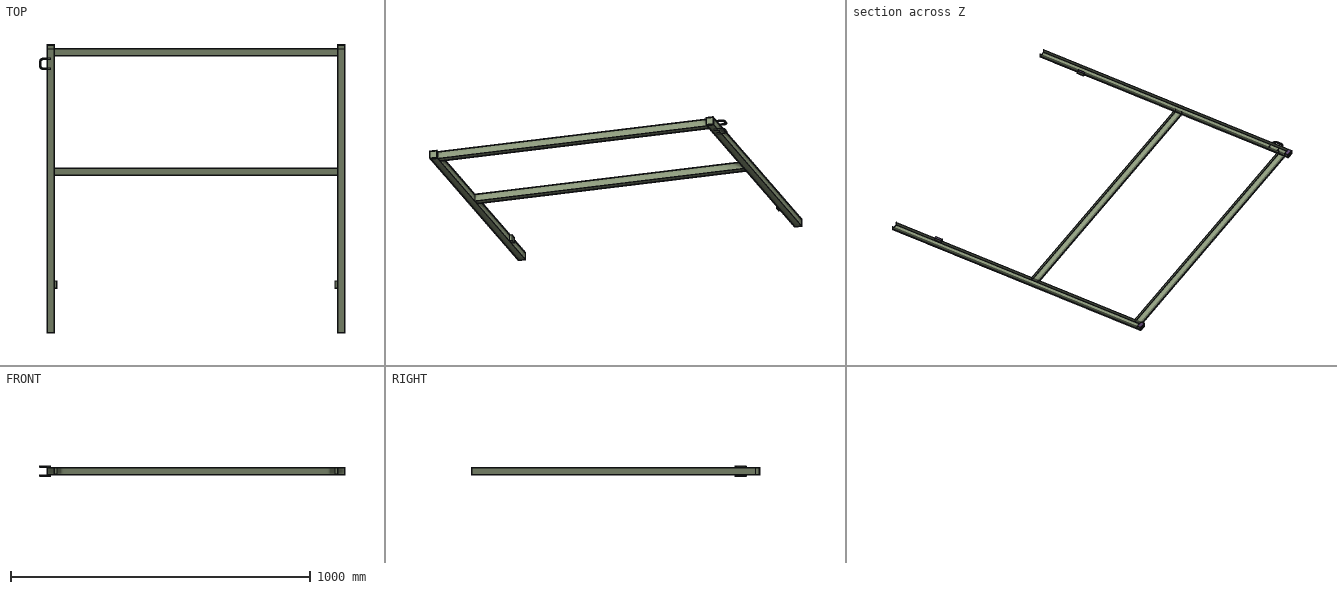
import cadquery as cq
import math

TUBE = 25.4
WALL = 1.5
BORE = TUBE - 2 * WALL

FRAME_WIDTH = 996.0
LEG_LENGTH = 960.5
TOP_BAR_Y = 938.0
MIDDLE_BAR_Y = 538.0
LEG_X = (FRAME_WIDTH - TUBE) / 2
INNER_X = LEG_X - TUBE / 2

CAP_THICKNESS = 3.0
PLUG_DEPTH = 12.0

WIRE_DIAMETER = 5.0
HOOK_Y = 899.0
HOOK_ARM_SPACING = 33.0
HOOK_REACH = 24.8
HOOK_OVERLAP = 12.0
HOOK_BEND_RADIUS = 9.0

PAD_Y = 161.5
PAD_LENGTH = 25.0
PAD_HEIGHT = 20.0
PAD_THICKNESS = 8.0

SIDES = (-1, 1)


def make_leg(side):
    """Hollow leg on the -X (side = -1) or +X (side = 1) edge of the frame."""
    return (
        cq.Workplane("XZ", origin=(side * LEG_X, 0, 0))
        .rect(TUBE, TUBE)
        .rect(BORE, BORE)
        .extrude(-LEG_LENGTH)
    )


def make_crossbar(y):
    """Hollow crossbar fitted between the inner faces of the legs."""
    return (
        cq.Workplane("YZ", origin=(-INNER_X, y, 0))
        .rect(TUBE, TUBE)
        .rect(BORE, BORE)
        .extrude(2 * INNER_X)
    )


def make_plug(side):
    """Cap covering the +Y end of a leg, with a spigot filling the bore."""
    leg_end = cq.Workplane("XZ", origin=(side * LEG_X, LEG_LENGTH, 0))
    cap = leg_end.rect(TUBE, TUBE).extrude(-CAP_THICKNESS)
    spigot = leg_end.rect(BORE, BORE).extrude(PLUG_DEPTH)
    return cap.union(spigot)


def make_hook(side):
    """Wire hook resting on the bottom (side = -1) or top (side = 1) of the -X leg."""
    leg_face_x = -FRAME_WIDTH / 2
    root_x = leg_face_x + HOOK_OVERLAP
    tip_x = leg_face_x - HOOK_REACH + WIRE_DIAMETER / 2
    bend_x = tip_x + HOOK_BEND_RADIUS
    arm_y = HOOK_ARM_SPACING / 2
    bend_y = arm_y - HOOK_BEND_RADIUS
    bend_offset = HOOK_BEND_RADIUS * math.sqrt(0.5)
    z = side * (TUBE + WIRE_DIAMETER) / 2

    path = (
        cq.Workplane("XY", origin=(0, HOOK_Y, z))
        .moveTo(root_x, arm_y)
        .lineTo(bend_x, arm_y)
        .threePointArc((bend_x - bend_offset, bend_y + bend_offset), (tip_x, bend_y))
        .lineTo(tip_x, -bend_y)
        .threePointArc((bend_x - bend_offset, -bend_y - bend_offset), (bend_x, -arm_y))
        .lineTo(root_x, -arm_y)
    )
    wire_section = cq.Workplane("YZ", origin=(root_x, HOOK_Y + arm_y, z)).circle(WIRE_DIAMETER / 2)
    return wire_section.sweep(path)


def make_pad(side):
    """Rectangular pad standing on the inner face of a leg."""
    pad_x = side * (INNER_X - PAD_THICKNESS / 2)
    return cq.Workplane("XY", origin=(pad_x, PAD_Y, 0)).box(PAD_THICKNESS, PAD_LENGTH, PAD_HEIGHT)


legs = [make_leg(side).val() for side in SIDES]
crossbars = [make_crossbar(y).val() for y in (TOP_BAR_Y, MIDDLE_BAR_Y)]
plugs = [make_plug(side).solids().val() for side in SIDES]
hooks = [make_hook(side).val() for side in SIDES]
pads = [make_pad(side).val() for side in SIDES]

result = cq.Compound.makeCompound([*legs, *crossbars, *plugs, *hooks, *pads])